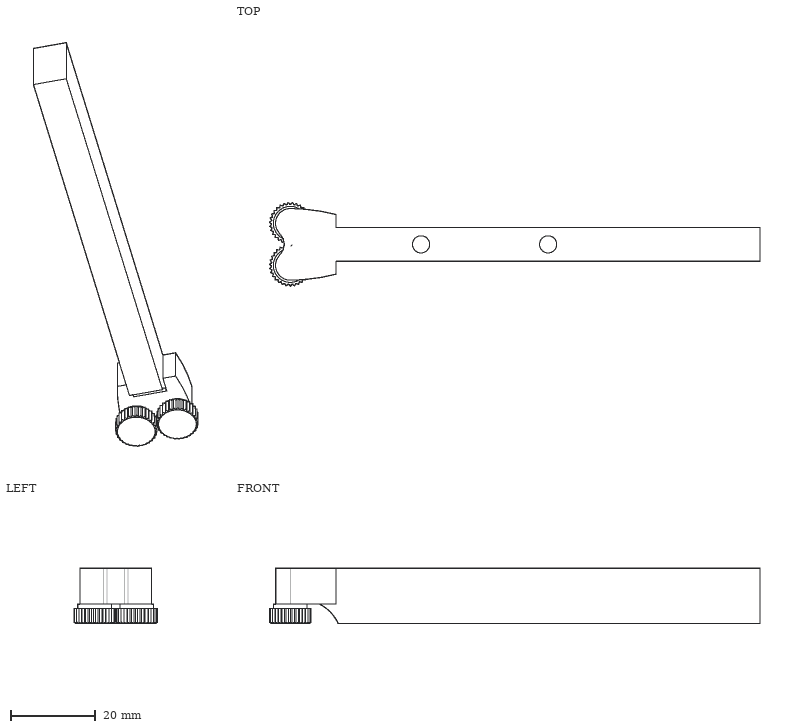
import cadquery as cq
import math

tooth_count = 31
wheel_diameter = 9.8
tooth_depth = 0.5
rim_height = 3.6
chamfer_height = 0.3
chamfer_depth = 0.5
hub_diameter = 8.0
hub_height = 1.0
wheel_spacing = 10.0

wheel_radius = wheel_diameter / 2
half_pitch = math.pi / tooth_count
wheel_x = wheel_radius * math.cos(half_pitch / 2)
wheel_y = wheel_spacing / 2

overall_length = 115.7
total_height = 13.1
shank_width = 8.0
shank_start = 15.7

head_bottom = rim_height + hub_height
head_height = total_height - head_bottom
lobe_radius = 3.5
lobe_end_angle = 37.0
valley_radius = 3.5
neck_width = 14.1

relief_top_x = 11.7
relief_bottom_x = 16.2
relief_radius = 9.3

mark_diameter = 4.0
mark_depth = 0.1
mark_offset = 20.0
mark_spacing = 30.0
mark_count = 2


def make_wheel(y):
    """Toothed rim, chamfered below, with a round hub on top; one tooth tip points to -Y."""
    tooth_points = []
    for step in range(2 * tooth_count):
        radius = wheel_radius - tooth_depth * (step % 2)
        angle = step * half_pitch - math.pi / 2
        tooth_points.append((radius * math.cos(angle), radius * math.sin(angle)))
    teeth = cq.Workplane("XY").polyline(tooth_points).close().extrude(rim_height)
    blank = (
        cq.Workplane("XY")
        .circle(wheel_radius)
        .extrude(rim_height)
        .faces("<Z")
        .chamfer(chamfer_height, chamfer_depth)
    )
    hub = cq.Workplane("XY", origin=(0, 0, rim_height)).circle(hub_diameter / 2).extrude(hub_height)
    return teeth.intersect(blank).union(hub).translate((wheel_x, y, 0))


def lobe_point(angle):
    """Point of the +Y lobe, with the angle in degrees from -X towards +Y."""
    turn = math.radians(angle)
    return wheel_x - lobe_radius * math.cos(turn), wheel_y + lobe_radius * math.sin(turn)


def mirrored(point):
    return point[0], -point[1]


def make_head():
    """Two lobes over the wheels, a rounded valley between them and curved sides to the neck."""
    lobe_side = lobe_point(90)
    lobe_middle = lobe_point(45 - lobe_end_angle / 2)
    lobe_end = lobe_point(-lobe_end_angle)

    turn = math.radians(lobe_end_angle)
    valley_y = valley_radius * math.sin(turn)
    valley_x = lobe_end[0] + (lobe_end[1] - valley_y) * math.tan(turn)
    valley_start = (valley_x, valley_y)
    valley_middle = (valley_x + valley_radius * (1 - math.cos(turn)), 0)

    neck = (shank_start, neck_width / 2)
    run = neck[0] - lobe_side[0]
    drop = lobe_side[1] - neck[1]
    side_radius = (run**2 + drop**2) / (2 * drop)
    half_turn = math.asin(run / side_radius) / 2
    side_middle = (
        lobe_side[0] + side_radius * math.sin(half_turn),
        lobe_side[1] - side_radius * (1 - math.cos(half_turn)),
    )

    return (
        cq.Workplane("XY", origin=(0, 0, head_bottom))
        .moveTo(*mirrored(neck))
        .lineTo(*neck)
        .threePointArc(side_middle, lobe_side)
        .threePointArc(lobe_middle, lobe_end)
        .lineTo(*valley_start)
        .threePointArc(valley_middle, mirrored(valley_start))
        .lineTo(*mirrored(lobe_end))
        .threePointArc(mirrored(lobe_middle), mirrored(lobe_side))
        .threePointArc(mirrored(side_middle), mirrored(neck))
        .close()
        .extrude(head_height)
    )


def make_shank():
    """Rectangular bar whose lower corner at the head is relieved by an arc."""
    return (
        cq.Workplane("XZ", origin=(0, shank_width / 2, 0))
        .moveTo(relief_bottom_x, 0)
        .lineTo(overall_length, 0)
        .lineTo(overall_length, total_height)
        .lineTo(relief_top_x, total_height)
        .lineTo(relief_top_x, head_bottom)
        .radiusArc((relief_bottom_x, 0), relief_radius)
        .close()
        .extrude(shank_width)
    )


def make_holder():
    """Head and shank in one piece, with a row of shallow round recesses on top."""
    first_mark_x = shank_start + mark_offset
    mark_centres = [(first_mark_x + number * mark_spacing, 0) for number in range(mark_count)]
    marks = (
        cq.Workplane("XY", origin=(0, 0, total_height))
        .pushPoints(mark_centres)
        .circle(mark_diameter / 2)
        .extrude(-mark_depth)
    )
    return make_head().union(make_shank()).cut(marks)


holder = make_holder()
wheels = [make_wheel(side * wheel_y) for side in (-1, 1)]

result = cq.Compound.makeCompound([holder.val(), *[wheel.val() for wheel in wheels]])